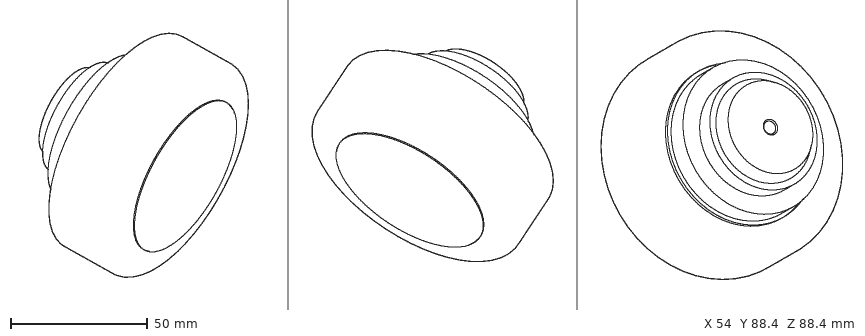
import cadquery as cq
import math

nose_length, nose_tip_dia, nose_base_dia = 5.2, 35.5, 40.0
journal_end, journal_dia = 13.0, 45.0
shoulder_end, shoulder_dia = 22.0, 59.0
collar_dia = 62.0

roller_dia = 88.4
roller_start, roller_end = 23.5, 53.5
inner_edge_radius = 2.0
outer_edge_radius = 4.0
outer_edge_start = 47.5
taper_angle = 18.0

overall_length = 54.0

hole_dia, hole_depth = 4.95, 12.4
hole_mouth_dia = 6.0
drill_point_angle = 118.0


def cylinder(start, end, diameter):
    return cq.Workplane("YZ", origin=(start, 0, 0)).circle(diameter / 2).extrude(end - start)


def revolve_about_x(profile):
    return profile.close().revolve(360, (0, 0, 0), (1, 0, 0))


def make_nose():
    profile = (
        cq.Workplane("XY")
        .lineTo(0, nose_tip_dia / 2)
        .lineTo(nose_length, nose_base_dia / 2)
        .lineTo(nose_length, 0)
    )
    return revolve_about_x(profile)


def make_roller():
    radius = roller_dia / 2
    taper = math.radians(taper_angle)
    arc_center_radius = radius - outer_edge_radius

    def outer_arc_point(angle):
        return (
            outer_edge_start + outer_edge_radius * math.cos(angle),
            arc_center_radius + outer_edge_radius * math.sin(angle),
        )

    taper_start = outer_arc_point(taper)
    arc_middle = outer_arc_point((taper + math.pi / 2) / 2)
    end_face_radius = taper_start[1] - (roller_end - taper_start[0]) / math.tan(taper)

    profile = (
        cq.Workplane("XY")
        .moveTo(roller_start, 0)
        .lineTo(roller_start, radius - inner_edge_radius)
        .radiusArc((roller_start + inner_edge_radius, radius), inner_edge_radius)
        .lineTo(outer_edge_start, radius)
        .threePointArc(arc_middle, taper_start)
        .lineTo(roller_end, end_face_radius)
        .lineTo(roller_end, 0)
    )
    return revolve_about_x(profile)


def make_center_hole():
    hole_radius = hole_dia / 2
    mouth_radius = hole_mouth_dia / 2
    mouth_depth = mouth_radius - hole_radius
    point_length = hole_radius / math.tan(math.radians(drill_point_angle / 2))
    profile = (
        cq.Workplane("XY")
        .lineTo(0, mouth_radius)
        .lineTo(mouth_depth, hole_radius)
        .lineTo(hole_depth, hole_radius)
        .lineTo(hole_depth + point_length, 0)
    )
    return revolve_about_x(profile)


result = (
    make_nose()
    .union(cylinder(nose_length, journal_end, journal_dia))
    .union(cylinder(journal_end, shoulder_end, shoulder_dia))
    .union(cylinder(shoulder_end, roller_start, collar_dia))
    .union(make_roller())
    .union(cylinder(roller_end, overall_length, collar_dia))
    .cut(make_center_hole())
)